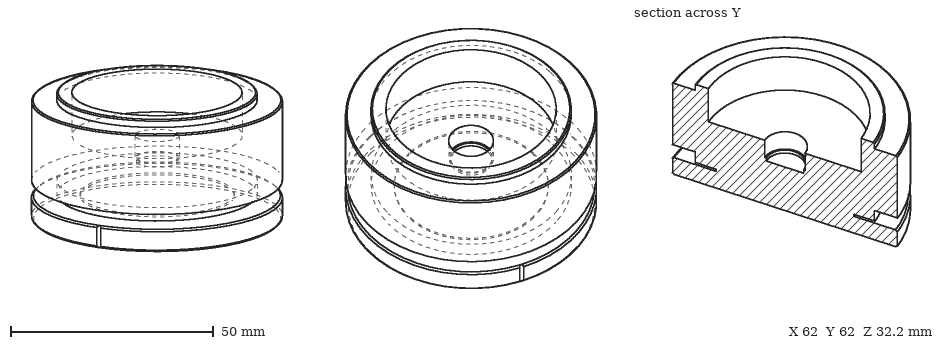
import cadquery as cq

outer_diameter = 62.0
rim_diameter = 49.5
neck_diameter = 38.05
cavity_diameter = 42.05
bore_diameter = 11.05
recess_diameter = 10.3

total_height = 32.2
base_height = 5.7
neck_height = 0.5
collar_height = 3.5
rim_height = 2.0
body_height = total_height - base_height - neck_height - collar_height - rim_height
cavity_depth = 11.0
bore_depth = 5.7
recess_depth = 1.0

base_chamfer = 0.5
body_chamfer = 0.4
groove_radius = 0.51


def disc(diameter, bottom, height):
    """Plain cylinder on the Z axis, starting at the given level."""
    return cq.Workplane("XY").workplane(offset=bottom).circle(diameter / 2).extrude(height)


neck_bottom = base_height
collar_bottom = neck_bottom + neck_height
body_bottom = collar_bottom + collar_height
rim_bottom = body_bottom + body_height

base = disc(outer_diameter, 0, base_height).edges("%CIRCLE").chamfer(base_chamfer)
neck = disc(neck_diameter, neck_bottom, neck_height)
collar = disc(rim_diameter, collar_bottom, collar_height)
body = disc(outer_diameter, body_bottom, body_height).faces(">Z").edges().chamfer(body_chamfer)
rim = disc(rim_diameter, rim_bottom, rim_height).faces(">Z").edges().chamfer(body_chamfer)

groove = disc(2 * groove_radius, 0, base_height).translate((0, -outer_diameter / 2, 0))
base = base.cut(groove)

cavity_floor = total_height - cavity_depth
bore_floor = cavity_floor - bore_depth
recess_floor = bore_floor - recess_depth

cavity = disc(cavity_diameter, cavity_floor, cavity_depth)
bore = disc(bore_diameter, bore_floor, bore_depth)
recess = disc(recess_diameter, recess_floor, recess_depth)

result = base.union(neck).union(collar).union(body).union(rim)
result = result.cut(cavity).cut(bore).cut(recess)